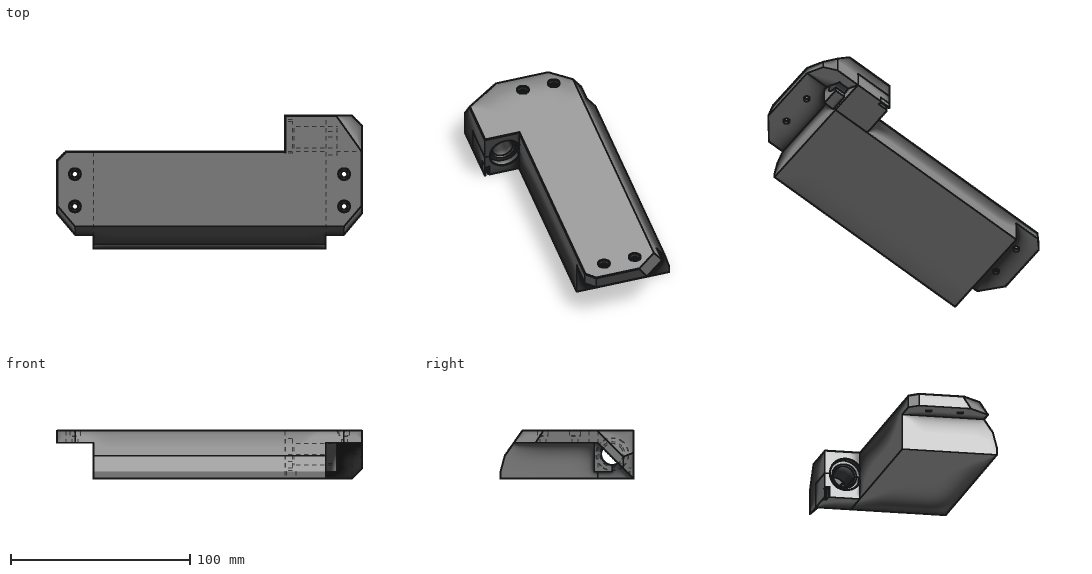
import cadquery as cq
import math


length = 170.0
total_depth = 74.17
height = 27.0
half_length = length / 2
edge_chamfer = 0.4

plate_thickness = 7.0
plate_bottom = height - plate_thickness
plate_rear = -20.0
rear_corner_cut = 5.0
front_corner_width = 10.0
front_corner_width_low = 10.3
front_corner_aspect = 1.18

nose_half_length = 64.7
lip_height = 4.0
knee_height = 12.8
upper_slope = math.tan(math.radians(35))
lower_slope = math.tan(math.radians(15))
lip_y = -total_depth
knee_y = lip_y + (knee_height - lip_height) * lower_slope
plate_front = knee_y + (height - knee_height) * upper_slope
plate_front_low = plate_front - plate_thickness * upper_slope

block_left = 42.0
block_corner_cut = 5.7
facet_rear_width = 14.5
facet_side_depth = 20.5

bore_y = -12.0
bore_z = 13.75
bore_diameter = 12.0
bore_mouth = 1.0
socket_diameter = 17.8
socket_chamfer = 0.3
socket_depth = 4.0
boss_half_width = 10.0
boss_right = 71.0

slot_height = 6.0
slot_rear_wall = 0.5
slot_width = 1.6
slot_depth = 6.0
slot_chamfer = 0.7

screw_diameter = 3.4
head_diameter = 6.0
head_depth = 2.7
bridge_step = 0.3
screw_x = half_length - 10.0
screw_rows = (-32.7, -50.7)


def box(x_range, y_range, z_range):
    """Axis-aligned box given by its limits on each axis."""
    (x0, x1), (y0, y1), (z0, z1) = x_range, y_range, z_range
    return cq.Workplane("XY").box(x1 - x0, y1 - y0, z1 - z0, centered=False).translate((x0, y0, z0))


def plate_outline(front_y, corner_width):
    """Plate outline at one level: square rear right corner, the other three corners cut."""
    side_y = front_y + corner_width * front_corner_aspect
    inner_x = half_length - corner_width
    return [
        (-half_length + rear_corner_cut, plate_rear),
        (half_length, plate_rear),
        (half_length, side_y),
        (inner_x, front_y),
        (-inner_x, front_y),
        (-half_length, side_y),
        (-half_length, plate_rear - rear_corner_cut),
    ]


def make_plate():
    """Plate whose front and front corners lean outward towards the bottom."""
    return (
        cq.Workplane("XY")
        .workplane(offset=plate_bottom)
        .polyline(plate_outline(plate_front_low, front_corner_width_low))
        .close()
        .workplane(offset=plate_thickness)
        .polyline(plate_outline(plate_front, front_corner_width))
        .close()
        .loft(ruled=True)
    )


def make_nose():
    profile = [
        (plate_rear, 0),
        (lip_y, 0),
        (lip_y, lip_height),
        (knee_y, knee_height),
        (plate_front, height),
        (plate_rear, height),
    ]
    nose = cq.Workplane("YZ").polyline(profile).close().extrude(2 * nose_half_length)
    return nose.translate((-nose_half_length, 0, 0))


def make_block():
    """Full block on the left, a 45 degree overhang to its right and a boss around the bore end."""
    block = box((block_left, nose_half_length), (plate_rear, 0), (0, height))
    overhang = (
        cq.Workplane("YZ")
        .polyline([(0, 0), (-plate_bottom, plate_bottom), (plate_rear, height), (0, height)])
        .close()
        .extrude(half_length - nose_half_length)
        .translate((nose_half_length, 0, 0))
    )
    boss = box(
        (nose_half_length, boss_right),
        (bore_y - boss_half_width, bore_y),
        (bore_z - boss_half_width, plate_bottom),
    )
    return block.union(overhang).union(boss)


def corner_cut(plane):
    """Triangular prism that cuts an upright (XY) or lower (XZ) edge of the block at 45 degrees."""
    if plane == "XY":
        points = [(half_length, 0), (half_length, -block_corner_cut), (half_length - block_corner_cut, 0)]
        return cq.Workplane("XY").polyline(points).close().extrude(height)
    points = [(half_length, 0), (half_length, block_corner_cut), (half_length - block_corner_cut, 0)]
    return cq.Workplane("XZ").polyline(points).close().extrude(-plate_rear)


def facet_cut():
    """Wedge above the sloping facet on the rear right corner of the block."""
    corner = cq.Vector(half_length, 0, height)
    rear = corner - cq.Vector(facet_rear_width, 0, 0)
    side = corner - cq.Vector(0, facet_side_depth, 0)
    low = corner - cq.Vector(0, 0, facet_side_depth)
    triangles = [(corner, rear, side), (corner, low, rear), (corner, side, low), (rear, low, side)]
    faces = [cq.Face.makeFromWires(cq.Wire.makePolygon(list(t), close=True)) for t in triangles]
    return cq.Workplane(cq.Solid.makeSolid(cq.Shell.makeShell(faces)))


def bore_cut():
    """Stepped bore: chamfered socket, then a countersunk bore that leaves through the boss."""
    socket_r = socket_diameter / 2
    bore_r = bore_diameter / 2
    mouth_r = bore_r + bore_mouth
    length_x = boss_right - block_left
    profile = [
        (0, 0),
        (0, socket_r + socket_chamfer),
        (socket_chamfer, socket_r),
        (socket_depth, socket_r),
        (socket_depth, mouth_r),
        (socket_depth + bore_mouth, bore_r),
        (length_x, bore_r),
        (length_x, 0),
    ]
    cut = cq.Workplane("XY").polyline(profile).close().revolve(360, (0, 0, 0), (1, 0, 0))
    return cut.translate((block_left, bore_y, bore_z))


def slot_cut():
    rear_y = -slot_rear_wall
    front_y = rear_y - slot_width
    slot = box((block_left, block_left + slot_depth), (front_y, rear_y), (0, slot_height))
    mouth = [
        (block_left, front_y - slot_chamfer),
        (block_left, front_y),
        (block_left + slot_chamfer, front_y),
    ]
    return slot.union(cq.Workplane("XY").polyline(mouth).close().extrude(slot_height))


def screw_cut(x, y):
    """Counterbored hole with two bridging steps between the head seat and the round hole."""
    head_r = head_diameter / 2
    seat = height - head_depth
    head = cq.Workplane("XY").circle(head_r).extrude(head_depth).translate((0, 0, seat))
    mouth = (
        cq.Workplane("XY")
        .workplane(offset=height - edge_chamfer)
        .circle(head_r)
        .workplane(offset=edge_chamfer)
        .circle(head_r + edge_chamfer)
        .loft()
    )
    shank = cq.Workplane("XY").circle(screw_diameter / 2).extrude(height)
    band = cq.Workplane("XY").rect(screw_diameter, head_diameter).extrude(bridge_step)
    band = band.translate((0, 0, seat - bridge_step))
    band = band.intersect(cq.Workplane("XY").circle(head_r).extrude(height))
    square = cq.Workplane("XY").rect(screw_diameter, screw_diameter).extrude(2 * bridge_step)
    square = square.translate((0, 0, seat - 2 * bridge_step))
    return shank.union(square).union(band).union(head).union(mouth).translate((x, y, 0))


def edge_bevel():
    """Solid that trims the top edge of the upright walls to a small 45 degree chamfer."""
    outline = [
        (-half_length + rear_corner_cut, plate_rear),
        (block_left, plate_rear),
        (block_left, 0),
        (half_length, 0),
        (half_length, -total_depth),
        (-half_length, -total_depth),
        (-half_length, plate_rear - rear_corner_cut),
    ]
    keep = cq.Workplane("XY").polyline(outline).close().extrude(height)
    return keep.faces(">Z").edges().chamfer(edge_chamfer)


def make_body():
    body = make_plate().union(make_nose()).union(make_block())
    body = body.intersect(edge_bevel())
    body = body.cut(corner_cut("XY")).cut(corner_cut("XZ")).cut(facet_cut())
    body = body.cut(bore_cut()).cut(slot_cut())
    for x in (-screw_x, screw_x):
        for y in screw_rows:
            body = body.cut(screw_cut(x, y))
    return body


def clamp_region():
    """Space of the clamp: the lower half of the full block, below the bore axis."""
    return box((block_left, nose_half_length), (plate_rear, 0), (0, bore_z))


body = make_body()
housing = body.cut(clamp_region())
clamp = body.intersect(clamp_region())

result = cq.Compound.makeCompound([housing.val(), clamp.val()])